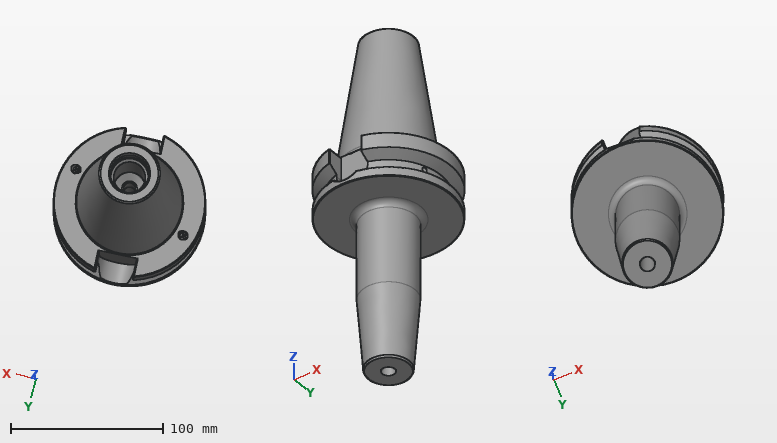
import cadquery as cq
import math


TOTAL_HEIGHT = 261.8
GAUGE_Z = 160.0
GAUGE_RADIUS = 34.8
TAPER_RATIO = 7 / 24
SHANK_CHAMFER = 1.0
SHANK_FOOT_CHAMFER = 0.65

FLANGE_RADIUS = 50.0
FLANGE_TOP_Z = 156.8
FLANGE_BOTTOM_Z = 122.0
FLANGE_CHAMFER = 0.5
GROOVE_RADIUS = 42.5
GROOVE_MID_Z = 137.0
GROOVE_ROOT_HEIGHT = 6.3
GROOVE_MOUTH_HEIGHT = 16.0

NECK_RADIUS = 21.07
NECK_FILLET = 4.7
NOSE_TAPER_Z = 57.3
NOSE_END_RADIUS = 16.8
NOSE_CHAMFER_WIDTH = 0.8
NOSE_CHAMFER_HEIGHT = 1.5

SLOT_WIDTH = 25.1
SLOT_BOTTOM_Z = 125.7
SLOT_FLOOR_Y = 35.5
SLOT_CHAMFER = 0.8

BORE_MOUTH_RADIUS = 13.5
PILOT_RADIUS = 12.5
PILOT_CHAMFER_DEPTH = 2.0
PILOT_DEPTH = 10.0
THREAD_RADIUS = 12.3
THREAD_DEPTH = 13.4
SHOULDER_DEPTH = 15.0
DRILL_RADIUS = 10.35
DRILL_DEPTH = 52.4
DRILL_POINT_ANGLE = 118
THROUGH_RADIUS = 5.0

STOP_HOLE_RADIUS = 4.0
STOP_LENGTH = 15.7

SCREW_ANGLES = (160, 340)
SCREW_CIRCLE_RADIUS = 41.5
SCREW_TILT = 25
SCREW_RADIUS = 3.0
SCREW_LENGTH = 5.2
SCREW_RECESS = 2.4
SOCKET_WIDTH = 3.0
SOCKET_DEPTH = 2.5
PLUG_RADIUS = 1.8
PLUG_LENGTH = 5.2

TOLERANCE = 0.03
SHANK_END_RADIUS = GAUGE_RADIUS - (TOTAL_HEIGHT - GAUGE_Z) * TAPER_RATIO / 2
SLOT_RADIUS = SLOT_WIDTH / 2
CONE_SLOPE = 1 / math.tan(math.radians(DRILL_POINT_ANGLE / 2))
DRILL_CONE_BOTTOM_Z = TOTAL_HEIGHT - DRILL_DEPTH - (DRILL_RADIUS - THROUGH_RADIUS) * CONE_SLOPE


def revolved(profile):
    """Turn a half profile, drawn as (radius, height), around the Z axis."""
    return profile.close().revolve(360, (0, 0, 0), (0, 1, 0))


def turned_blank():
    """Solid of revolution with the nose, flange, gripper groove and taper shank.

    The top flange edge is left sharp; it is broken after the drive slots are chamfered.
    """
    half_root = GROOVE_ROOT_HEIGHT / 2
    half_mouth = GROOVE_MOUTH_HEIGHT / 2
    arc_offset = NECK_FILLET * (1 - math.sqrt(0.5))
    profile = (
        cq.Workplane("XZ")
        .moveTo(0, 0)
        .lineTo(NOSE_END_RADIUS - NOSE_CHAMFER_WIDTH, 0)
        .lineTo(NOSE_END_RADIUS, NOSE_CHAMFER_HEIGHT)
        .lineTo(NECK_RADIUS, NOSE_TAPER_Z)
        .lineTo(NECK_RADIUS, FLANGE_BOTTOM_Z - NECK_FILLET)
        .threePointArc(
            (NECK_RADIUS + arc_offset, FLANGE_BOTTOM_Z - arc_offset),
            (NECK_RADIUS + NECK_FILLET, FLANGE_BOTTOM_Z),
        )
        .lineTo(FLANGE_RADIUS - FLANGE_CHAMFER, FLANGE_BOTTOM_Z)
        .lineTo(FLANGE_RADIUS, FLANGE_BOTTOM_Z + FLANGE_CHAMFER)
        .lineTo(FLANGE_RADIUS, GROOVE_MID_Z - half_mouth)
        .lineTo(GROOVE_RADIUS, GROOVE_MID_Z - half_root)
        .lineTo(GROOVE_RADIUS, GROOVE_MID_Z + half_root)
        .lineTo(FLANGE_RADIUS, GROOVE_MID_Z + half_mouth)
        .lineTo(FLANGE_RADIUS, FLANGE_TOP_Z)
        .lineTo(GAUGE_RADIUS + SHANK_FOOT_CHAMFER, FLANGE_TOP_Z)
        .lineTo(GAUGE_RADIUS, FLANGE_TOP_Z + SHANK_FOOT_CHAMFER)
        .lineTo(GAUGE_RADIUS, GAUGE_Z)
        .lineTo(SHANK_END_RADIUS + SHANK_CHAMFER * TAPER_RATIO / 2, TOTAL_HEIGHT - SHANK_CHAMFER)
        .lineTo(SHANK_END_RADIUS - SHANK_CHAMFER, TOTAL_HEIGHT)
        .lineTo(0, TOTAL_HEIGHT)
    )
    return revolved(profile)


def central_bore():
    """Stepped bore: pilot, thread and drill sections, then a through hole down to the nose end."""
    profile = (
        cq.Workplane("XZ")
        .moveTo(0, 0)
        .lineTo(THROUGH_RADIUS, 0)
        .lineTo(THROUGH_RADIUS, DRILL_CONE_BOTTOM_Z)
        .lineTo(DRILL_RADIUS, TOTAL_HEIGHT - DRILL_DEPTH)
        .lineTo(DRILL_RADIUS, TOTAL_HEIGHT - SHOULDER_DEPTH)
        .lineTo(THREAD_RADIUS, TOTAL_HEIGHT - THREAD_DEPTH)
        .lineTo(THREAD_RADIUS, TOTAL_HEIGHT - PILOT_DEPTH)
        .lineTo(PILOT_RADIUS, TOTAL_HEIGHT - PILOT_DEPTH)
        .lineTo(PILOT_RADIUS, TOTAL_HEIGHT - PILOT_CHAMFER_DEPTH)
        .lineTo(BORE_MOUTH_RADIUS, TOTAL_HEIGHT)
        .lineTo(0, TOTAL_HEIGHT)
    )
    return revolved(profile)


def drive_slot(side):
    """Round-bottomed slot through the flange rim; side is +1 for +Y and -1 for -Y."""
    round_z = SLOT_BOTTOM_Z + SLOT_RADIUS
    depth = FLANGE_RADIUS - SLOT_FLOOR_Y
    plane = cq.Plane(origin=(0, side * SLOT_FLOOR_Y, 0), xDir=(1, 0, 0), normal=(0, side, 0))
    height_sign = plane.yDir.z
    return (
        cq.Workplane(plane)
        .moveTo(-SLOT_RADIUS, height_sign * FLANGE_TOP_Z)
        .lineTo(-SLOT_RADIUS, height_sign * round_z)
        .threePointArc((0, height_sign * SLOT_BOTTOM_Z), (SLOT_RADIUS, height_sign * round_z))
        .lineTo(SLOT_RADIUS, height_sign * FLANGE_TOP_Z)
        .close()
        .extrude(depth)
    )


def open_slot_edges(body):
    """Slot edges on the flange top face and on the outer cylinder of the flange."""
    slot_edges = []
    for edge in body.edges().vals():
        middle = edge.positionAt(0.5)
        ends = (edge.startPoint(), edge.endPoint())
        in_slot = abs(middle.x) < SLOT_RADIUS + TOLERANCE and abs(middle.y) > SLOT_FLOOR_Y + TOLERANCE
        at_top = all(abs(end.z - FLANGE_TOP_Z) < TOLERANCE for end in ends)
        on_rim = all(abs(math.hypot(end.x, end.y) - FLANGE_RADIUS) < TOLERANCE for end in ends)
        above_slot_bottom = middle.z > SLOT_BOTTOM_Z - TOLERANCE
        if in_slot and above_slot_bottom and (at_top or on_rim):
            slot_edges.append(edge)
    return slot_edges


def top_rim_chamfer():
    """Ring of triangular section that breaks the outer top edge of the flange."""
    profile = (
        cq.Workplane("XZ")
        .moveTo(FLANGE_RADIUS - FLANGE_CHAMFER, FLANGE_TOP_Z)
        .lineTo(FLANGE_RADIUS, FLANGE_TOP_Z - FLANGE_CHAMFER)
        .lineTo(FLANGE_RADIUS, FLANGE_TOP_Z)
    )
    return revolved(profile)


def outward_direction(angle):
    """Horizontal unit vector pointing away from the axis at the given angle in degrees."""
    turn = math.radians(angle)
    return cq.Vector(math.cos(turn), math.sin(turn), 0)


def screw_plane(angle):
    """Plane centred on the flange top with its normal running down the tilted screw hole."""
    outward = outward_direction(angle)
    tilt = math.radians(SCREW_TILT)
    inward_and_down = outward * -math.sin(tilt) + cq.Vector(0, 0, -math.cos(tilt))
    across = outward.cross(cq.Vector(0, 0, 1))
    return cq.Plane(outward * SCREW_CIRCLE_RADIUS + cq.Vector(0, 0, FLANGE_TOP_Z), across, inward_and_down)


def screw_hole(angle):
    """Tilted blind hole that opens on the flange top and ends at the foot of its screw."""
    above_flange = cq.Workplane(screw_plane(angle)).workplane(offset=-SCREW_RADIUS)
    return above_flange.circle(SCREW_RADIUS).extrude(SCREW_RADIUS + SCREW_RECESS + SCREW_LENGTH)


def set_screw(angle):
    """Headless screw with a hexagon socket, sunk into its tilted hole."""
    corner_diameter = SOCKET_WIDTH / math.cos(math.pi / 6)
    top = cq.Workplane(screw_plane(angle)).workplane(offset=SCREW_RECESS)
    socket = top.polygon(6, corner_diameter).extrude(SOCKET_DEPTH)
    return top.circle(SCREW_RADIUS).extrude(SCREW_LENGTH).cut(socket)


def groove_plug(angle):
    """Radial plug whose outer end is flush with the round groove root."""
    outward = outward_direction(angle)
    inner_end = outward * (GROOVE_RADIUS - PLUG_LENGTH) + cq.Vector(0, 0, GROOVE_MID_Z)
    rod = cq.Workplane(cq.Plane(inner_end, (0, 0, 1), outward)).circle(PLUG_RADIUS).extrude(2 * PLUG_LENGTH)
    root_cylinder = cq.Workplane("XY").circle(GROOVE_RADIUS).extrude(FLANGE_TOP_Z)
    return rod.intersect(root_cylinder)


def stop_screw():
    """Hollow screw that sits in the through hole with its top at the foot of the drill cone."""
    return (
        cq.Workplane("XY")
        .workplane(offset=DRILL_CONE_BOTTOM_Z - STOP_LENGTH)
        .circle(THROUGH_RADIUS)
        .circle(STOP_HOLE_RADIUS)
        .extrude(STOP_LENGTH)
    )


holder = turned_blank()
for slot_side in (1, -1):
    holder = holder.cut(drive_slot(slot_side))
holder = holder.newObject(open_slot_edges(holder)).chamfer(SLOT_CHAMFER)
holder = holder.cut(top_rim_chamfer()).cut(central_bore())

set_screws = []
groove_plugs = []
for screw_angle in SCREW_ANGLES:
    plug = groove_plug(screw_angle)
    holder = holder.cut(screw_hole(screw_angle)).cut(plug)
    set_screws.append(set_screw(screw_angle))
    groove_plugs.append(plug)

bodies = [holder, stop_screw(), *set_screws, *groove_plugs]
result = cq.Compound.makeCompound([body.val() for body in bodies])